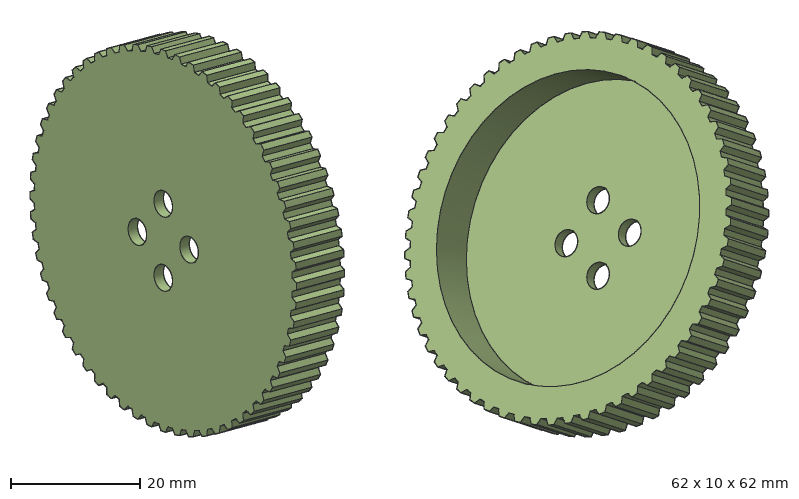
import cadquery as cq
import math

tip_diameter = 62.0
width = 10.0
tooth_count = 60
tooth_height = 1.0
tip_land = 1.1
root_land = 1.0
recess_diameter = 50.0
web_thickness = 2.0
hole_diameter = 4.3
hole_circle_diameter = 12.0
hole_count = 4

tip_radius = tip_diameter / 2
root_radius = tip_radius - tooth_height
tooth_pitch_angle = 2 * math.pi / tooth_count


def rim_point(radius, angle):
    """Point in the XZ plane, with the angle in radians measured from +X."""
    return (radius * math.cos(angle), radius * math.sin(angle))


def toothed_blank():
    """Disc with straight-flanked teeth, the first one centred on +X."""
    half_tip = tip_land / 2 / tip_radius
    half_root = root_land / 2 / root_radius
    outline = cq.Workplane("XZ").moveTo(*rim_point(tip_radius, -half_tip))
    for tooth in range(tooth_count):
        centre = tooth * tooth_pitch_angle
        gap = centre + tooth_pitch_angle / 2
        next_tip_start = centre + tooth_pitch_angle - half_tip
        outline = outline.threePointArc(
            rim_point(tip_radius, centre), rim_point(tip_radius, centre + half_tip)
        )
        outline = outline.lineTo(*rim_point(root_radius, gap - half_root))
        outline = outline.threePointArc(
            rim_point(root_radius, gap), rim_point(root_radius, gap + half_root)
        )
        if tooth < tooth_count - 1:
            outline = outline.lineTo(*rim_point(tip_radius, next_tip_start))
    return outline.close().extrude(-width)


def back_recess():
    """Round recess open at the back face (+Y), leaving a thin web at the front."""
    return (
        cq.Workplane("XZ", origin=(0, web_thickness, 0))
        .circle(recess_diameter / 2)
        .extrude(-(width - web_thickness))
    )


def web_holes():
    """Ring of holes through the web, on the X and Z axes."""
    return (
        cq.Workplane("XZ")
        .polarArray(hole_circle_diameter / 2, 0, 360, hole_count)
        .circle(hole_diameter / 2)
        .extrude(-web_thickness)
    )


result = toothed_blank().cut(back_recess()).cut(web_holes())